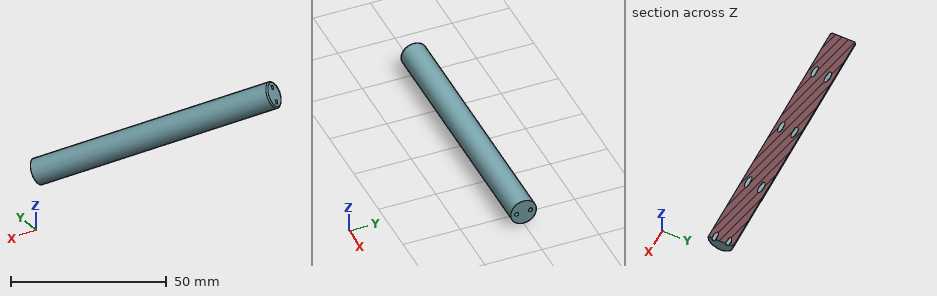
import cadquery as cq

rod_length = 90.0
rod_diameter = 9.0
chamfer_size = 0.45

channel_diameter = 1.35
channel_y = 1.3
channel_z = 2.1
helix_pitch = 48.6
twist_angle = 360.0 * rod_length / helix_pitch


def make_rod():
    """Solid rod starting at X = 0, chamfered at that end only."""
    rod = cq.Workplane("YZ").circle(rod_diameter / 2).extrude(rod_length)
    return rod.faces("<X").edges().chamfer(chamfer_size)


def make_channel(side):
    """Channel twisting about the rod axis through its whole length."""
    return (
        cq.Workplane("YZ")
        .pushPoints([(side * channel_y, side * channel_z)])
        .circle(channel_diameter / 2)
        .twistExtrude(rod_length, twist_angle)
    )


result = make_rod()
for side in (1, -1):
    result = result.cut(make_channel(side))